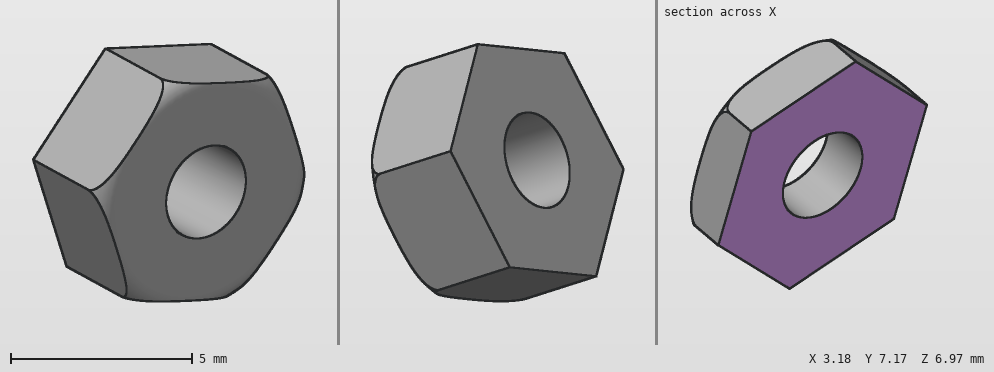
import cadquery as cq
import math

thickness = 3.175
across_flats = 6.35
bore_diameter = 2.71
corner_tilt = -12.0
rounding_radius = 0.6

corner_radius = across_flats / 2 / math.cos(math.pi / 6)


def hexagonal_body():
    """Hexagonal prism from X = 0 to X = thickness, turned by the corner tilt."""
    prism = cq.Workplane("YZ").polygon(6, 2 * corner_radius).extrude(thickness)
    return prism.rotate((0, 0, 0), (1, 0, 0), corner_tilt)


def corner_envelope():
    """Cylinder through the hexagon corners, with a rounded rim at +X."""
    cylinder = cq.Workplane("YZ").circle(corner_radius).extrude(thickness)
    return cylinder.faces(">X").edges().fillet(rounding_radius)


def bore():
    """Through hole along the nut axis."""
    return cq.Workplane("YZ").circle(bore_diameter / 2).extrude(thickness)


result = hexagonal_body().intersect(corner_envelope()).cut(bore())